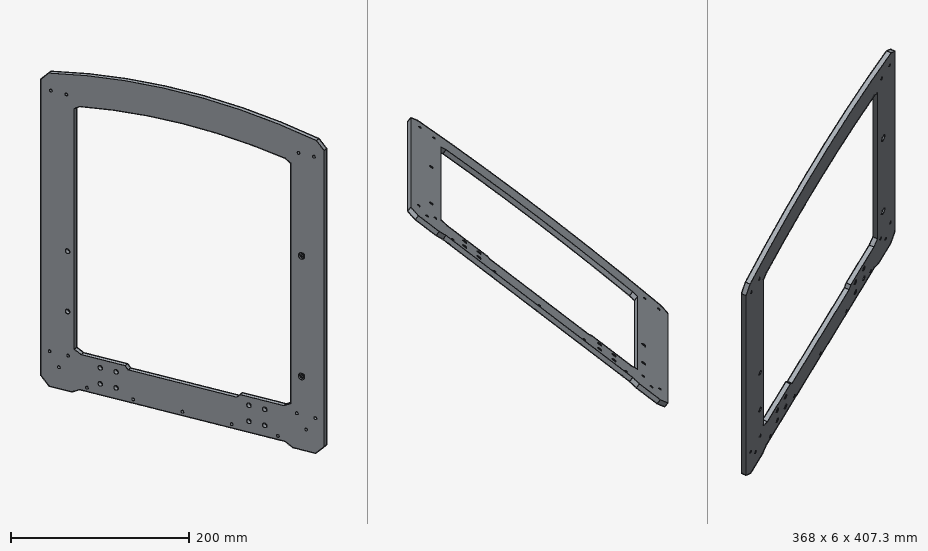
import cadquery as cq

width = 368.0
height = 407.26
thickness = 6.0
half_width = width / 2

top_chamfer = 10.0
shoulder_height = 379.5
foot_chamfer = 11.0
foot_inner_x = 143.25
recess_end_x = 133.5
recess_height = 5.25

window_half_width = 140.5
top_rail = 38.75
window_arch_end_x = 133.5
window_arch_end_height = 357.5
window_shoulder_height = 353.0
window_lower_height = 54.0
window_ledge_end_x = 131.5
window_ledge_height = 49.5
window_dip_top_x = 74.5
window_dip_bottom_x = 70.5
window_floor_height = 45.25

screw_diameter = 3.3
clearance_diameter = 5.5
counterbore_diameter = 8.0
counterbore_hole_diameter = 4.47
counterbore_depth = 3.0

top_screws = [(150.75, 368.5), (170.75, 368.5)]
foot_screws = [(148.5, 44.0), (172.5, 43.75), (160.5, 26.75)]
bracket_holes = [(x, z) for x in (86.25, 106.75) for z in (18.9, 38.9)]
edge_holes = [(x, 10.0) for x in (-124.0, -64.0, 0.0, 64.0, 124.0)]
left_holes = [(-149.25, z) for z in (98.75, 173.75)]
right_holes = [(154.5, z) for z in (91.25, 241.25)]


def front_plane():
    """Front face of the plate: local axes are X and Z, negative depth goes toward +Y."""
    return cq.Workplane("XZ", origin=(0, -thickness / 2, 0))


def mirrored(points):
    """The points together with their mirror images across X = 0."""
    return points + [(-x, z) for x, z in points]


def arched_slab(right_points, apex_height):
    """Full-thickness slab: an arch over the right-hand points and their mirror images."""
    left_points = [(-x, z) for x, z in reversed(right_points)]
    return (
        front_plane()
        .moveTo(*left_points[-1])
        .threePointArc((0, apex_height), right_points[0])
        .polyline(right_points[1:] + left_points, includeCurrent=True)
        .close()
        .extrude(-thickness)
    )


def drill(points, diameter, depth):
    """Cylinders going from the front face into the plate."""
    return front_plane().pushPoints(points).circle(diameter / 2).extrude(-depth)


def make_plate():
    return arched_slab(
        [
            (half_width - top_chamfer, shoulder_height + top_chamfer),
            (half_width, shoulder_height),
            (half_width, foot_chamfer),
            (half_width - foot_chamfer, 0),
            (foot_inner_x, 0),
            (recess_end_x, recess_height),
        ],
        height,
    )


def make_window():
    return arched_slab(
        [
            (window_arch_end_x, window_arch_end_height),
            (window_half_width, window_shoulder_height),
            (window_half_width, window_lower_height),
            (window_ledge_end_x, window_ledge_height),
            (window_dip_top_x, window_ledge_height),
            (window_dip_bottom_x, window_floor_height),
        ],
        height - top_rail,
    )


screw_holes = mirrored(top_screws + foot_screws) + edge_holes
clearance_holes = mirrored(bracket_holes) + left_holes

result = make_plate().cut(make_window())
result = result.cut(drill(screw_holes, screw_diameter, thickness))
result = result.cut(drill(clearance_holes, clearance_diameter, thickness))
result = result.cut(drill(right_holes, counterbore_hole_diameter, thickness))
result = result.cut(drill(right_holes, counterbore_diameter, counterbore_depth))